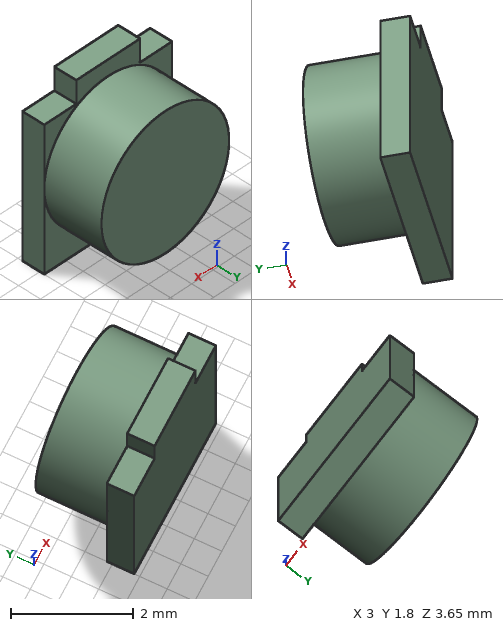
import cadquery as cq

total_height = 3.65
width = 3.0
total_depth = 1.8
plate_thickness = 0.5
tab_height = 0.5
tab_width = width / 2
boss_gap_below = 0.3

shoulder_height = total_height - tab_height
boss_radius = width / 2
boss_length = total_depth - plate_thickness
boss_center_height = boss_gap_below + boss_radius


def make_plate():
    """Upright plate with a narrower tab centred on its top edge."""
    body = cq.Workplane("XY").box(width, plate_thickness, shoulder_height, centered=(True, False, False))
    tab = (
        cq.Workplane("XY", origin=(0, 0, shoulder_height))
        .box(tab_width, plate_thickness, tab_height, centered=(True, False, False))
    )
    return body.union(tab)


def make_boss():
    """Round boss, as wide as the plate, extending in +Y from its back face."""
    return (
        cq.Workplane("XZ", origin=(0, plate_thickness, boss_center_height))
        .circle(boss_radius)
        .extrude(-boss_length)
    )


result = make_plate().union(make_boss())